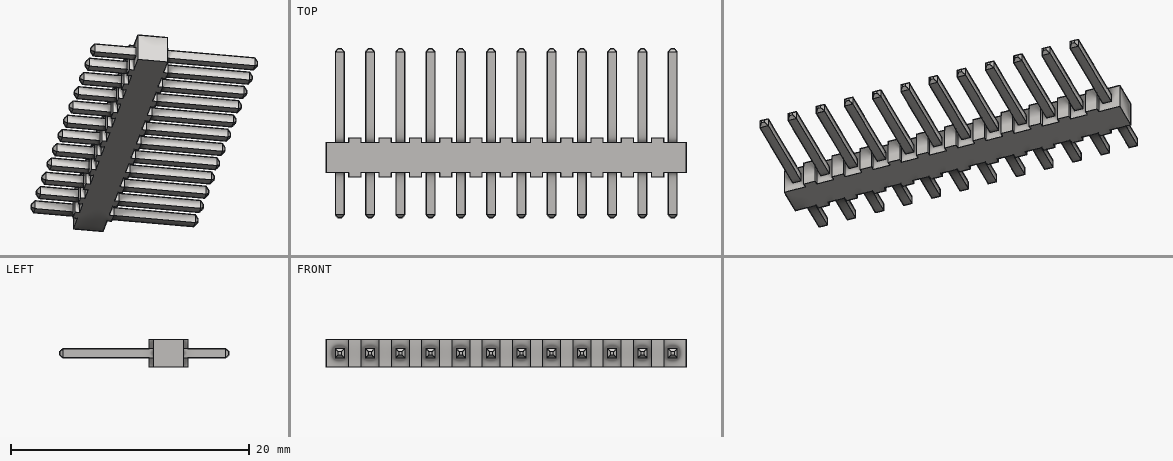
import cadquery as cq


pin_count = 12
pitch = 2.54

body_length = 30.23
body_depth = 2.54
body_height = 2.34

rib_width = 1.04
rib_projection = 0.38

pin_width = 0.76
pin_length = 14.22
front_reach = 3.81
tip_length = 0.28
tip_width = 0.26

first_pin_x = -pitch * (pin_count - 1) / 2
pin_front_y = -body_depth / 2 - front_reach
shank_length = pin_length - 2 * tip_length


def make_body():
    """Plain rectangular bar with a rib across both long faces at every gap between pins."""
    body = cq.Workplane("XY").box(body_length, body_depth, body_height)
    rib_depth = body_depth + 2 * rib_projection
    for gap in range(pin_count - 1):
        rib_x = first_pin_x + (gap + 0.5) * pitch
        rib = cq.Workplane("XY").box(rib_width, rib_depth, body_height)
        body = body.union(rib.translate((rib_x, 0, 0)))
    return body


def make_tip():
    """Square frustum growing along +Y from the full pin section down to the blunt end."""
    return (
        cq.Workplane("XZ")
        .rect(pin_width, pin_width)
        .workplane(offset=-tip_length)
        .rect(tip_width, tip_width)
        .loft(ruled=True)
    )


def make_pin():
    """Pin centred on the origin, lying along Y, tapered at both ends."""
    shank = cq.Workplane("XY").box(pin_width, shank_length, pin_width)
    back_tip = make_tip().translate((0, shank_length / 2, 0))
    front_tip = back_tip.mirror("XZ")
    return shank.union(back_tip).union(front_tip)


result = make_body()
pin = make_pin()
pin_centre_y = pin_front_y + pin_length / 2
for index in range(pin_count):
    pin_x = first_pin_x + index * pitch
    result = result.union(pin.translate((pin_x, pin_centre_y, 0)))